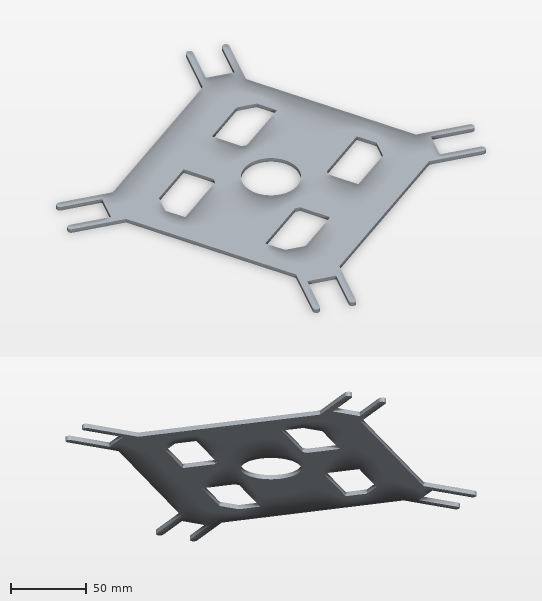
import cadquery as cq
import math

thickness = 3.0
plate_side = 170.0
bore_diameter = 40.0

window_inner_x = 30.0
window_outer_x = 55.0
window_inner_y = 20.0
window_outer_y = 65.0
window_outer_chamfer = 10.0
window_inner_chamfer = 2.5

arm_reach = 25.0
slot_depth = 6.0
slot_width = 20.0
tine_width = 5.0

corner_distance = plate_side / math.sqrt(2)
arm_tip = corner_distance + arm_reach
slot_floor = corner_distance - slot_depth
slot_length = arm_tip - slot_floor
arm_width = slot_width + 2 * tine_width
arm_angles = [45, 135, 225, 315]


def make_tine(side):
    """Round-ended prong along +X, on the given side (+1 or -1) of the slot.

    Its inner end is buried in the arm root.
    """
    length = slot_length + tine_width
    centre_x = arm_tip - length / 2
    centre_y = side * (slot_width + tine_width) / 2
    return (
        cq.Workplane("XY")
        .center(centre_x, centre_y)
        .slot2D(length, tine_width)
        .extrude(thickness)
    )


def make_arm():
    """Forked arm along +X, starting at the plate centre."""
    root = (
        cq.Workplane("XY")
        .center(slot_floor / 2, 0)
        .rect(slot_floor, arm_width)
        .extrude(thickness)
    )
    return root.union(make_tine(1)).union(make_tine(-1))


def make_slot():
    """Open slot between the tines of an arm along +X."""
    return (
        cq.Workplane("XY")
        .center(slot_floor + slot_length / 2, 0)
        .rect(slot_length, slot_width)
        .extrude(thickness)
    )


def make_window():
    """Window of the +X +Y quadrant, chamfered at its outer and inner corners."""
    return (
        cq.Workplane("XY")
        .moveTo(window_inner_x + window_inner_chamfer, window_inner_y)
        .lineTo(window_outer_x, window_inner_y)
        .lineTo(window_outer_x, window_outer_y - window_outer_chamfer)
        .lineTo(window_outer_x - window_outer_chamfer, window_outer_y)
        .lineTo(window_inner_x, window_outer_y)
        .lineTo(window_inner_x, window_inner_y + window_inner_chamfer)
        .close()
        .extrude(thickness)
    )


def turned(shape, angle):
    """The shape turned about the plate axis by an angle in degrees."""
    return shape.rotate((0, 0, 0), (0, 0, 1), angle)


body = cq.Workplane("XY").rect(plate_side, plate_side).extrude(thickness)
for angle in arm_angles:
    body = body.union(turned(make_arm(), angle))

for angle in arm_angles:
    body = body.cut(turned(make_slot(), angle))

window = make_window()
window_pair = window.union(window.mirror("YZ"))
windows = window_pair.union(window_pair.mirror("XZ"))
bore = cq.Workplane("XY").circle(bore_diameter / 2).extrude(thickness)

result = body.cut(windows).cut(bore)